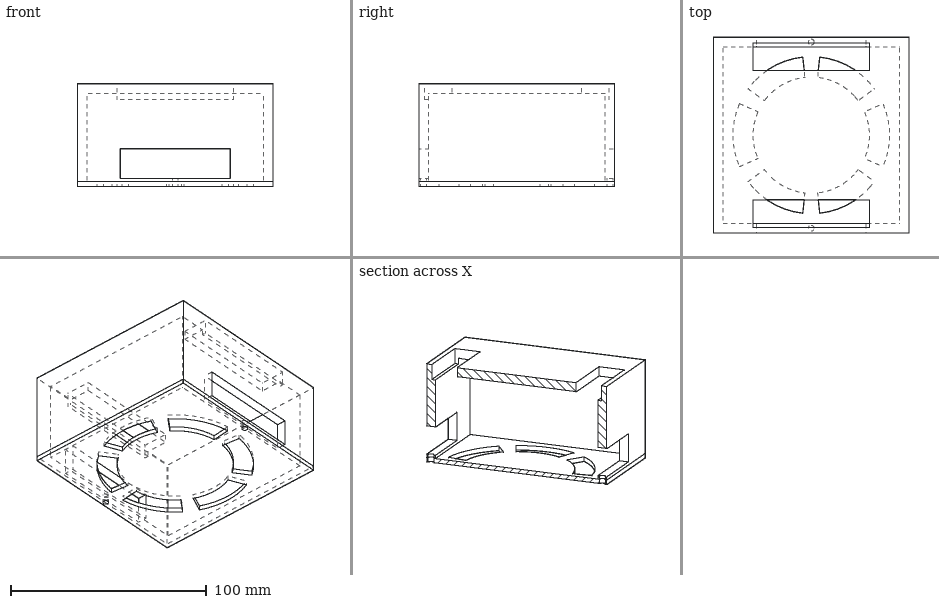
import cadquery as cq
import math

side = 100.0
plate_thickness = 2.5
housing_height = 50.0
wall = 5.0
total_height = plate_thickness + housing_height

slot_length = 59.4
slot_width = 14.0
slot_depth = 8.0
slot_margin = 3.0

window_width = 56.0
window_height = 15.0
sill_height = 1.7

screw_diameter = 3.0
screw_offset = (side - wall) / 2

vent_outer_radius = 40.0
vent_inner_radius = 29.7
spoke_count = 6
spoke_half_angle = 6.3
first_spoke_angle = 90.0


def cut_screw_holes(body):
    """Drill the front and back screw holes through the sill and plate levels."""
    holes = (
        cq.Workplane("XY")
        .pushPoints([(0, -screw_offset), (0, screw_offset)])
        .circle(screw_diameter / 2)
        .extrude(plate_thickness + sill_height)
    )
    return body.cut(holes)


def polar_point(radius, degrees):
    angle = math.radians(degrees)
    return (radius * math.cos(angle), radius * math.sin(angle))


def make_vent(start, end):
    """Ring segment between two spoke edges, given as angles in degrees."""
    middle = (start + end) / 2
    return (
        cq.Workplane("XY")
        .moveTo(*polar_point(vent_inner_radius, start))
        .lineTo(*polar_point(vent_outer_radius, start))
        .threePointArc(polar_point(vent_outer_radius, middle), polar_point(vent_outer_radius, end))
        .lineTo(*polar_point(vent_inner_radius, end))
        .threePointArc(polar_point(vent_inner_radius, middle), polar_point(vent_inner_radius, start))
        .close()
        .extrude(plate_thickness)
    )


def make_plate():
    """Square base plate with vents around a solid hub."""
    plate = cq.Workplane("XY").box(side, side, plate_thickness, centered=(True, True, False))
    spoke_pitch = 360 / spoke_count
    for index in range(spoke_count):
        start = first_spoke_angle + index * spoke_pitch + spoke_half_angle
        end = start + spoke_pitch - 2 * spoke_half_angle
        plate = plate.cut(make_vent(start, end))
    return cut_screw_holes(plate)


def make_housing():
    """Box open at the bottom, with roof slots and wall windows."""
    base = cq.Workplane("XY").workplane(offset=plate_thickness)
    inner_side = side - 2 * wall
    housing = base.box(side, side, housing_height, centered=(True, True, False))
    cavity = base.box(inner_side, inner_side, housing_height - wall, centered=(True, True, False))
    housing = housing.cut(cavity)

    slot_offset = side / 2 - slot_margin - slot_width / 2
    slots = (
        cq.Workplane("XY")
        .workplane(offset=total_height - slot_depth)
        .pushPoints([(0, -slot_offset), (0, slot_offset)])
        .rect(slot_length, slot_width)
        .extrude(slot_depth)
    )
    windows = base.workplane(offset=sill_height).box(
        window_width, side, window_height, centered=(True, True, False)
    )
    return cut_screw_holes(housing.cut(slots).cut(windows))


plate = make_plate()
housing = make_housing()
result = cq.Compound.makeCompound([plate.val(), housing.val()])